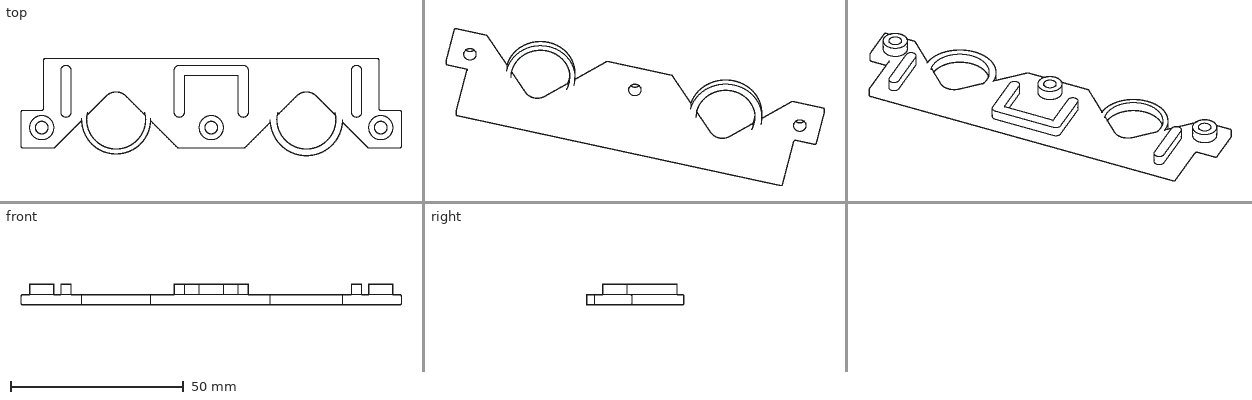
import cadquery as cq
import math

plate_length = 110.0
body_length = 97.0
plate_depth = 25.9
body_depth = 15.0
plate_thickness = 3.0
edge_radius = 0.5

notch_spacing = 55.0
notch_half_width = 17.85
notch_apex_radius = 4.0

ring_inner_radius = 8.5
left_ring_outer_radius = 10.0
right_ring_outer_radius = 10.5
ring_center_from_back = 17.66

raised_height = 3.0
boss_diameter = 7.0
hole_diameter = 3.6
boss_spacing = 49.0
rib_width = 3.0
rib_spacing = 84.0
rib_back_offset = 2.0
rib_length = 15.0
frame_width = 21.5

boss_from_back = 20.0
back_y = boss_from_back
front_y = back_y - plate_depth
wing_y = back_y - body_depth
ring_y = back_y - ring_center_from_back
rib_back_y = back_y - rib_back_offset
rib_front_y = rib_back_y - rib_length
total_height = plate_thickness + raised_height
notch_centers = (-notch_spacing / 2, notch_spacing / 2)


def add_notch(outline, center_x):
    """Continue a left-to-right front outline through one rounded V notch."""
    sharp_apex_y = front_y + notch_half_width
    arc_center_y = sharp_apex_y - notch_apex_radius * math.sqrt(2)
    tangent_offset = notch_apex_radius * math.sqrt(0.5)
    tangent_y = arc_center_y + tangent_offset
    return (
        outline.lineTo(center_x - notch_half_width, front_y)
        .lineTo(center_x - tangent_offset, tangent_y)
        .threePointArc(
            (center_x, arc_center_y + notch_apex_radius),
            (center_x + tangent_offset, tangent_y),
        )
        .lineTo(center_x + notch_half_width, front_y)
    )


def make_plate():
    """Stepped, notched plate with its corners and both rims rounded."""
    half_length = plate_length / 2
    half_body = body_length / 2
    outline = cq.Workplane("XY").moveTo(-half_length, front_y)
    for center_x in notch_centers:
        outline = add_notch(outline, center_x)
    outline = (
        outline.lineTo(half_length, front_y)
        .lineTo(half_length, wing_y)
        .lineTo(half_body, wing_y)
        .lineTo(half_body, back_y)
        .lineTo(-half_body, back_y)
        .lineTo(-half_body, wing_y)
        .lineTo(-half_length, wing_y)
        .close()
    )
    plate = outline.extrude(plate_thickness)
    plate = plate.edges("|Z").fillet(edge_radius)
    return plate.faces("<Z or >Z").edges().fillet(edge_radius)


def make_ring(center_x, outer_radius):
    """Plain ring as thick as the plate."""
    return (
        cq.Workplane("XY")
        .center(center_x, ring_y)
        .circle(outer_radius)
        .circle(ring_inner_radius)
        .extrude(plate_thickness)
    )


def make_rib(center_x):
    """Straight raised rib along Y with rounded ends."""
    return (
        cq.Workplane("XY")
        .workplane(offset=plate_thickness)
        .center(center_x, (rib_back_y + rib_front_y) / 2)
        .slot2D(rib_length, rib_width, 90)
        .extrude(raised_height)
    )


def make_frame():
    """U-shaped raised frame, open to the front: two ribs joined by a back bar."""
    leg_spacing = frame_width - rib_width
    bar = (
        cq.Workplane("XY")
        .workplane(offset=plate_thickness)
        .center(0, rib_back_y - rib_width / 2)
        .slot2D(frame_width, rib_width)
        .extrude(raised_height)
    )
    return bar.union(make_rib(-leg_spacing / 2)).union(make_rib(leg_spacing / 2))


def make_boss(center_x):
    """Round screw boss standing on the plate."""
    return (
        cq.Workplane("XY")
        .workplane(offset=plate_thickness)
        .center(center_x, 0)
        .circle(boss_diameter / 2)
        .extrude(raised_height)
    )


def make_screw_hole(center_x):
    """Cutter for a hole through a boss and the plate below it."""
    return cq.Workplane("XY").center(center_x, 0).circle(hole_diameter / 2).extrude(total_height)


result = make_plate()
for ring_x, outer_radius in zip(notch_centers, (left_ring_outer_radius, right_ring_outer_radius)):
    result = result.union(make_ring(ring_x, outer_radius))
for rib_x in (-rib_spacing / 2, rib_spacing / 2):
    result = result.union(make_rib(rib_x))
result = result.union(make_frame())
for boss_x in (-boss_spacing, 0, boss_spacing):
    result = result.union(make_boss(boss_x)).cut(make_screw_hole(boss_x))